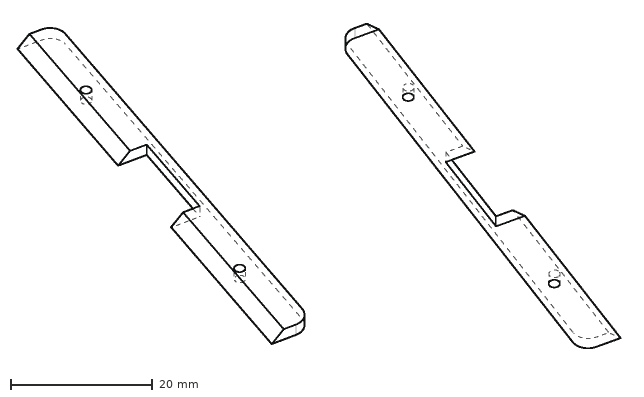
import cadquery as cq

length = 72.8
depth = 6.4
thickness = 2.0

bevel_run = 2.0

corner_radius = 2.5

notch_width = 15.15
bridge_depth = 1.75

hole_diameter = 1.6
hole_spacing = 44.0
hole_from_front = 3.0


def beveled_bar():
    """Bar extruded along X from its side profile, front edge at Y = 0."""
    profile = [(0, 0), (depth, 0), (depth, thickness), (bevel_run, thickness)]
    bar = cq.Workplane("YZ").polyline(profile).close().extrude(length / 2, both=True)
    return bar.edges("|Z and >Y").fillet(corner_radius)


def notch():
    return cq.Workplane("XY").box(
        notch_width, depth - bridge_depth, thickness, centered=(True, False, False)
    )


def screw_holes():
    centers = [(side * hole_spacing / 2, hole_from_front) for side in (-1, 1)]
    return cq.Workplane("XY").pushPoints(centers).circle(hole_diameter / 2).extrude(thickness)


result = beveled_bar().cut(notch()).cut(screw_holes())